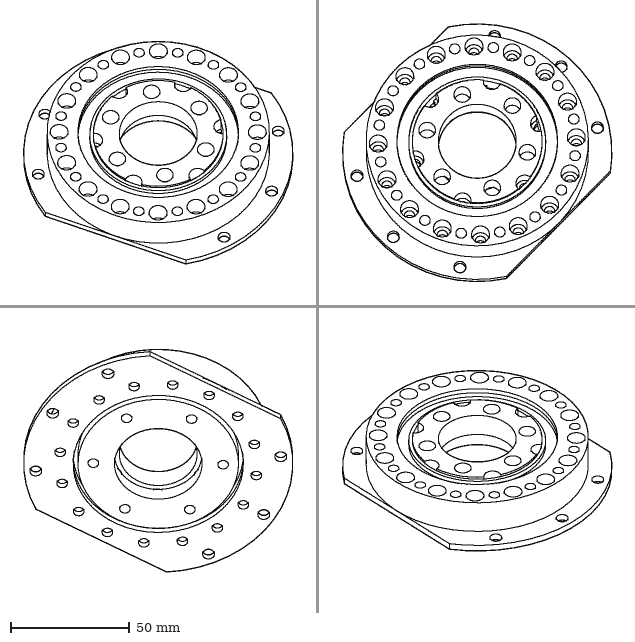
import cadquery as cq
import math

total_height = 18.0
flange_thickness = 3.0
lip_thickness = 2.0
bearing_width = 9.0
hub_recess = 1.0
seal_recess = 2.0
bearing_top = total_height - lip_thickness
bearing_bottom = bearing_top - bearing_width
hub_top = total_height - hub_recess

flange_diameter = 114.0
housing_diameter = 94.0
lip_bore = 68.0
flange_hole_diameter = 5.0
flange_hole_radius = 52.0
flange_hole_spread = 35

housing_hole_count = 16
housing_hole_radius = 42.0
screw_hole_diameter = 4.5
dowel_hole_diameter = 4.5
housing_head_diameter = 7.5
housing_head_depth = bearing_width

bearing_outer_diameter = 72.0
bearing_bore = 55.0
inner_race_diameter = 58.0

hub_bore = 33.0
carrier_bore = 37.0
carrier_diameter = lip_bore
hub_hole_count = 6
hub_pin_hole_diameter = 7.0
hub_pin_hole_radius = 21.8
hub_head_diameter = 7.3
hub_head_floor = 3.0
hub_screw_radius = bearing_bore / 2


def cylinder(diameter, bottom, top):
    return cq.Workplane("XY").workplane(offset=bottom).circle(diameter / 2).extrude(top - bottom)


def tube(outer_diameter, inner_diameter, bottom, top):
    return cylinder(outer_diameter, bottom, top).cut(cylinder(inner_diameter, bottom, top))


def holes_on_circle(radius, angles, diameter, bottom, top):
    """Vertical cylinders at the given angles, in degrees, on a circle around the Z axis."""
    centres = [
        (radius * math.cos(math.radians(angle)), radius * math.sin(math.radians(angle)))
        for angle in angles
    ]
    plane = cq.Workplane("XY").workplane(offset=bottom)
    return plane.pushPoints(centres).circle(diameter / 2).extrude(top - bottom)


def even_angles(count, pitches_turned=0):
    """Equally spaced angles, with the first one turned by a fraction of the pitch."""
    pitch = 360 / count
    return [(index + pitches_turned) * pitch for index in range(count)]


flange_hole_angles = [
    side + offset
    for side in (0, 180)
    for offset in (-flange_hole_spread, 0, flange_hole_spread)
]
housing_screw_angles = even_angles(housing_hole_count)
dowel_angles = even_angles(housing_hole_count, pitches_turned=0.5)
hub_pin_angles = even_angles(hub_hole_count)
hub_screw_angles = even_angles(hub_hole_count, pitches_turned=0.5)


def make_flange():
    """Round plate with two flats, tangent to the housing, that closes the dowel holes."""
    plate = tube(flange_diameter, bearing_outer_diameter, 0, flange_thickness)
    flats = cq.Workplane("XY").rect(flange_diameter, housing_diameter).extrude(flange_thickness)
    mounting_holes = holes_on_circle(
        flange_hole_radius, flange_hole_angles, flange_hole_diameter, 0, flange_thickness
    )
    screw_holes = holes_on_circle(
        housing_hole_radius, housing_screw_angles, screw_hole_diameter, 0, flange_thickness
    )
    return plate.intersect(flats).cut(mounting_holes).cut(screw_holes)


def make_housing():
    """Ring that holds the bearing under an inward lip at its top."""
    body = tube(housing_diameter, lip_bore, flange_thickness, total_height)
    bearing_seat = cylinder(bearing_outer_diameter, flange_thickness, bearing_top)
    screw_holes = holes_on_circle(
        housing_hole_radius, housing_screw_angles, screw_hole_diameter, flange_thickness, total_height
    )
    head_bottom = total_height - housing_head_depth
    screw_heads = holes_on_circle(
        housing_hole_radius, housing_screw_angles, housing_head_diameter, head_bottom, total_height
    )
    dowel_holes = holes_on_circle(
        housing_hole_radius, dowel_angles, dowel_hole_diameter, flange_thickness, total_height
    )
    return body.cut(bearing_seat).cut(screw_holes).cut(screw_heads).cut(dowel_holes)


def make_bearing():
    """Bearing with both races and a sunken seal between them."""
    body = tube(bearing_outer_diameter, bearing_bore, bearing_bottom, bearing_top)
    seal_groove = tube(lip_bore, inner_race_diameter, bearing_top - seal_recess, bearing_top)
    return body.cut(seal_groove)


def make_hub():
    """Disc inside the bearing, whose screw holes are centred on its rim and open to the side."""
    body = tube(bearing_bore, hub_bore, bearing_bottom, hub_top)
    pin_holes = holes_on_circle(
        hub_pin_hole_radius, hub_pin_angles, hub_pin_hole_diameter, bearing_bottom, hub_top
    )
    screw_holes = holes_on_circle(
        hub_screw_radius, hub_screw_angles, screw_hole_diameter, bearing_bottom, hub_top
    )
    screw_heads = holes_on_circle(
        hub_screw_radius, hub_screw_angles, hub_head_diameter, bearing_bottom + hub_head_floor, hub_top
    )
    return body.cut(pin_holes).cut(screw_holes).cut(screw_heads)


def make_carrier():
    """Ring under the hub and bearing that closes the pin holes of the hub."""
    body = tube(carrier_diameter, carrier_bore, 0, bearing_bottom)
    screw_holes = holes_on_circle(
        hub_screw_radius, hub_screw_angles, screw_hole_diameter, 0, bearing_bottom
    )
    return body.cut(screw_holes)


flange = make_flange()
housing = make_housing()
bearing = make_bearing()
hub = make_hub()
carrier = make_carrier()

result = cq.Compound.makeCompound(
    [flange.val(), housing.val(), bearing.val(), hub.val(), carrier.val()]
)